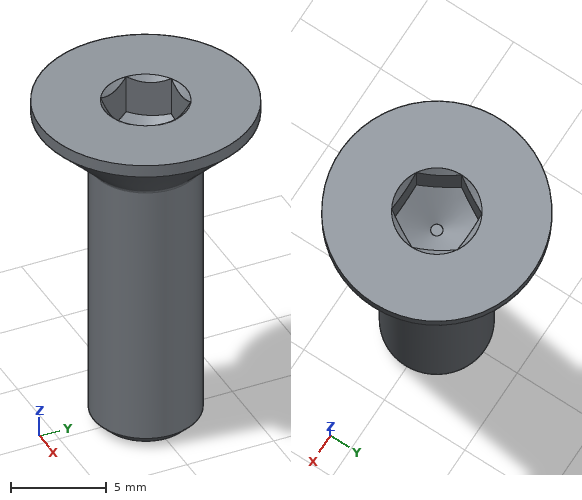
import cadquery as cq
import math

length = 20.0
head_diameter = 12.0
head_rim_height = 0.72
shank_diameter = 6.0
neck_fillet = 0.25
tip_diameter = 4.8
tip_height = 0.6

socket_width = 4.08
socket_depth = 2.4
socket_corner_diameter = socket_width / math.cos(math.pi / 6)
lead_in_angle = math.radians(45)
floor_flat_diameter = 0.65
floor_angle = math.radians(30)

head_radius = head_diameter / 2
shank_radius = shank_diameter / 2
tip_radius = tip_diameter / 2
cone_height = head_radius - shank_radius
rim_bottom = length - head_rim_height
cone_bottom = rim_bottom - cone_height


def make_body():
    """Head, shank and chamfered tip as one revolved profile, filleted under the head."""
    body = (
        cq.Workplane("XZ")
        .moveTo(0, 0)
        .lineTo(tip_radius, 0)
        .lineTo(shank_radius, tip_height)
        .lineTo(shank_radius, cone_bottom)
        .lineTo(head_radius, rim_bottom)
        .lineTo(head_radius, length)
        .lineTo(0, length)
        .close()
        .revolve(360, (0, 0, 0), (0, 1, 0))
    )
    neck_edge = cq.selectors.BoxSelector(
        (-head_radius, -head_radius, cone_bottom - neck_fillet),
        (head_radius, head_radius, cone_bottom + neck_fillet),
        boundingbox=True,
    )
    return body.edges("%CIRCLE").edges(neck_edge).fillet(neck_fillet)


def cone_frustum(bottom_z, bottom_radius, top_z, top_radius):
    """Solid of revolution about Z between two radii."""
    return cq.Workplane(
        cq.Solid.makeCone(bottom_radius, top_radius, top_z - bottom_z, cq.Vector(0, 0, bottom_z))
    )


def make_socket():
    """Hexagonal hole with a conical floor and a conical lead-in at its mouth."""
    corner_radius = socket_corner_diameter / 2
    flat_radius = socket_width / 2
    floor_flat_radius = floor_flat_diameter / 2
    floor_slope = math.tan(floor_angle)
    floor_bottom = length - socket_depth - (flat_radius - floor_flat_radius) * floor_slope
    floor_top = floor_bottom + (corner_radius - floor_flat_radius) * floor_slope
    lead_in_depth = (corner_radius - flat_radius) / math.tan(lead_in_angle)

    hexagon = (
        cq.Workplane("XY", origin=(0, 0, floor_bottom))
        .polygon(6, socket_corner_diameter)
        .extrude(length - floor_bottom)
    )
    floor = cone_frustum(floor_bottom, floor_flat_radius, floor_top, corner_radius)
    bore = cq.Workplane("XY", origin=(0, 0, floor_top)).circle(corner_radius).extrude(length - floor_top)
    lead_in = cone_frustum(length - lead_in_depth, flat_radius, length, corner_radius)
    return hexagon.intersect(floor.union(bore)).union(lead_in)


result = make_body().cut(make_socket())